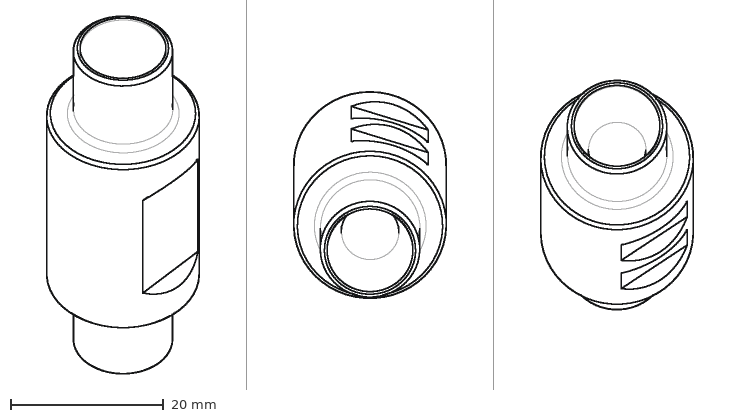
import cadquery as cq
import math

length = 54.0
body_diameter = 20.0
body_length = 30.0
neck_diameter = 13.0
bore_diameter = 7.5
body_chamfer = 0.5
neck_chamfer = 0.55
neck_fillet = 0.8

mouth_diameter = 11.25
mouth_half_angle = 12.0
lip_depth = 0.3

flat_distance = 8.5
flat_length = 6.0
flat_offset = 5.5
long_flat_length = 2 * flat_offset + flat_length


def cylinder(diameter, height):
    """Cylinder along Z, centred on the origin."""
    return cq.Workplane("XY").circle(diameter / 2).extrude(height / 2, both=True)


def make_outside():
    """Body with a neck at each end, chamfered rims and filleted roots."""
    body = cylinder(body_diameter, body_length).faces("<Z or >Z").chamfer(body_chamfer)
    necks = cylinder(neck_diameter, length).faces("<Z or >Z").chamfer(neck_chamfer)
    joined = body.union(necks)
    root_size = neck_diameter / 2 + neck_fillet
    for side in (-1, 1):
        root_z = side * body_length / 2
        corner = (-root_size, -root_size, root_z - neck_fillet / 2)
        opposite = (root_size, root_size, root_z + neck_fillet / 2)
        root_edge = cq.selectors.BoxSelector(corner, opposite, boundingbox=True)
        joined = joined.edges(root_edge).fillet(neck_fillet)
    return joined


def make_bore():
    """Through bore that widens to a cone at both ends."""
    bore_radius = bore_diameter / 2
    mouth_radius = mouth_diameter / 2
    mouth_depth = (mouth_radius - bore_radius) / math.tan(math.radians(mouth_half_angle))
    end_z = length / 2
    lip_z = end_z - lip_depth
    cone_z = lip_z - mouth_depth
    profile = [
        (0, -end_z),
        (mouth_radius, -end_z),
        (mouth_radius, -lip_z),
        (bore_radius, -cone_z),
        (bore_radius, cone_z),
        (mouth_radius, lip_z),
        (mouth_radius, end_z),
        (0, end_z),
    ]
    return cq.Workplane("XZ").polyline(profile).close().revolve(360, (0, 0), (0, 1))


def make_flat_cut(side, center_z, floor_length):
    """Cutter for one flat on the -X (side = -1) or +X (side = 1) face."""
    outer_distance = body_diameter / 2
    half_floor = floor_length / 2
    half_opening = half_floor + outer_distance - flat_distance
    profile = [
        (side * flat_distance, center_z - half_floor),
        (side * outer_distance, center_z - half_opening),
        (side * outer_distance, center_z + half_opening),
        (side * flat_distance, center_z + half_floor),
    ]
    return cq.Workplane("XZ").polyline(profile).close().extrude(body_diameter / 2, both=True)


result = make_outside().cut(make_bore())
for flat_z in (-flat_offset, flat_offset):
    result = result.cut(make_flat_cut(-1, flat_z, flat_length))
result = result.cut(make_flat_cut(1, 0, long_flat_length))